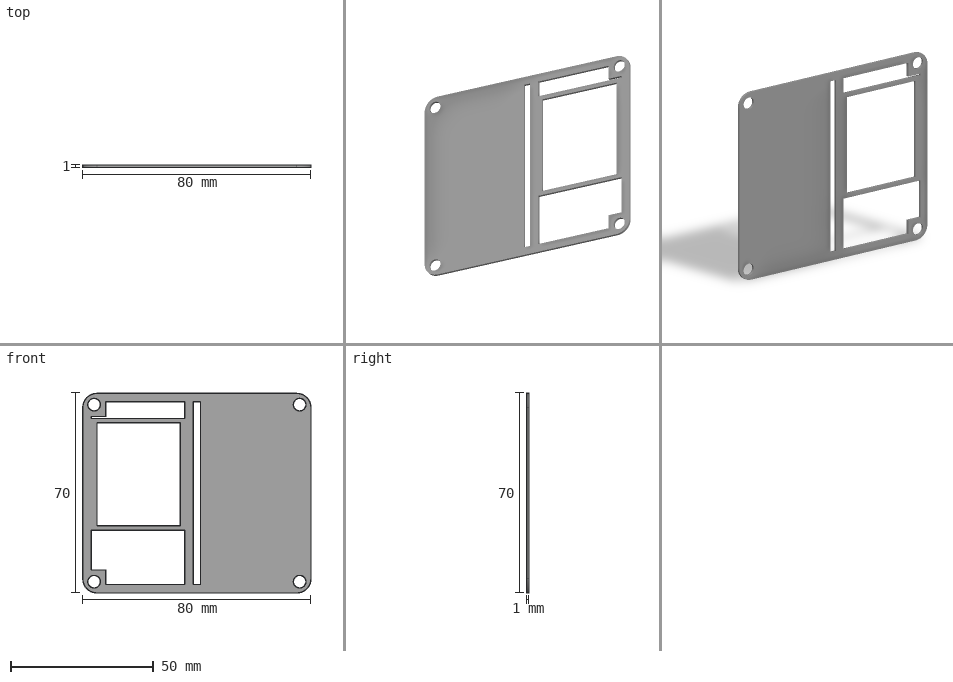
import cadquery as cq

width = 80.0
height = 70.0
thickness = 1.0
corner_radius = 5.0

hole_diameter = 4.3
hole_inset = 4.0

rim = 3.0
corner_tab = 8.2
bar_height = 1.6
window_right = 35.7
slot_left = 38.8
slot_width = 2.4
middle_left = 5.0
middle_width = 29.1
middle_bottom = 23.6
middle_height = 36.0

middle_top = middle_bottom + middle_height
opening_top = height - rim


def block(left, right, bottom, top):
    """Box through the full plate thickness between the given X and Z limits."""
    return cq.Workplane("XY").box(
        right - left, thickness, top - bottom, centered=False
    ).translate((left, 0, bottom))


plate = block(0, width, 0, height).edges("|Y").fillet(corner_radius)

upper_window = block(rim, window_right, middle_top + bar_height, opening_top)
upper_window = upper_window.cut(block(0, corner_tab, height - corner_tab, height))
lower_window = block(rim, window_right, rim, middle_bottom - bar_height)
lower_window = lower_window.cut(block(0, corner_tab, 0, corner_tab))

middle_window = block(middle_left, middle_left + middle_width, middle_bottom, middle_top)
slot = block(slot_left, slot_left + slot_width, rim, opening_top)

for opening in (upper_window, middle_window, lower_window, slot):
    plate = plate.cut(opening)

for x in (hole_inset, width - hole_inset):
    for z in (hole_inset, height - hole_inset):
        hole = cq.Workplane("XZ", origin=(x, thickness, z)).circle(hole_diameter / 2).extrude(thickness)
        plate = plate.cut(hole)

result = plate.translate((-width / 2, -thickness / 2, -height / 2))